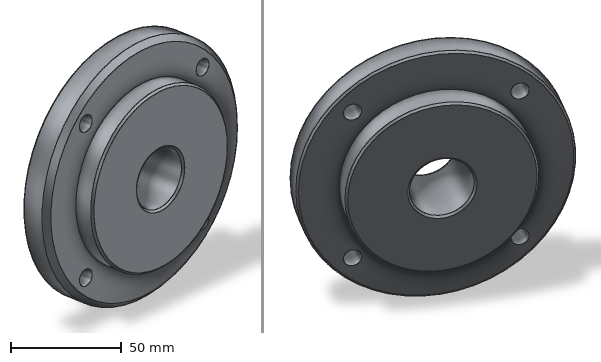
import cadquery as cq

total_length = 37.0
front_boss_length = 12.0
flange_thickness = 15.0
flange_back = front_boss_length + flange_thickness
rear_boss_length = total_length - flange_back

flange_diameter = 130.0
front_boss_diameter = 89.9
rear_boss_diameter = 91.0
bore_diameter = 30.0

bolt_hole_diameter = 8.5
bolt_circle_diameter = 110.0
bolt_count = 4
first_bolt_angle = 45

edge_chamfer = 1.0
flange_back_chamfer = 2.9


def disc(start, length, diameter):
    """Solid disc on the X axis, starting at X = start."""
    return cq.Workplane("YZ", origin=(start, 0, 0)).circle(diameter / 2).extrude(length)


flange = (
    disc(front_boss_length, flange_thickness, flange_diameter)
    .faces("<X").chamfer(edge_chamfer)
    .faces(">X").chamfer(flange_back_chamfer)
)
front_boss = disc(0, front_boss_length, front_boss_diameter).faces("<X").chamfer(edge_chamfer)
rear_boss = disc(flange_back, rear_boss_length, rear_boss_diameter).faces(">X").chamfer(edge_chamfer)
body = flange.union(front_boss).union(rear_boss)

body = body.cut(disc(0, total_length, bore_diameter))
bore_mouths = body.faces("<X or >X").edges(cq.selectors.RadiusNthSelector(0))
body = bore_mouths.chamfer(edge_chamfer)

bolt_holes = (
    cq.Workplane("YZ", origin=(front_boss_length, 0, 0))
    .polarArray(bolt_circle_diameter / 2, first_bolt_angle, 360, bolt_count)
    .circle(bolt_hole_diameter / 2)
    .extrude(flange_thickness)
)

result = body.cut(bolt_holes)